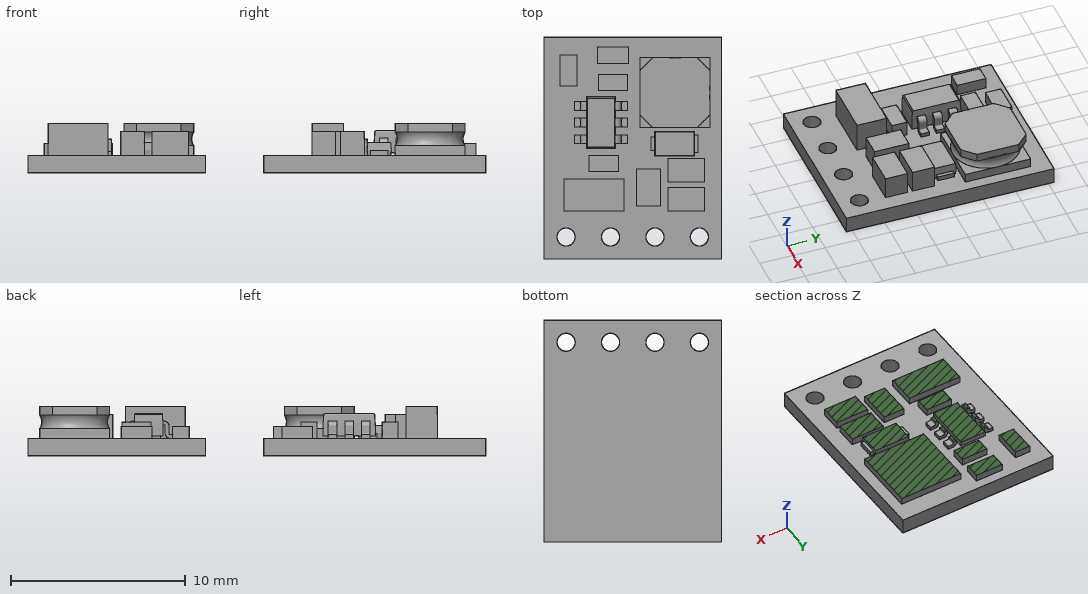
import cadquery as cq


BOARD_LENGTH_X = 10.16
BOARD_LENGTH_Y = 12.7
BOARD_THICKNESS = 1.0
TALLEST_PART = 1.82

PIN_COUNT = 4
PIN_PITCH = 2.54
PIN_HOLE_DIAMETER = 1.02
PIN_EDGE_DISTANCE = PIN_PITCH / 2

RESISTOR_SIZE = (1.75, 0.96, 0.68, 0.44)
SMALL_CAPACITOR_SIZE = (1.68, 0.92, 0.92, 0.30)
MEDIUM_CAPACITOR_SIZE = (2.1, 1.35, 1.37, 0.51)
LARGE_CAPACITOR_SIZE = (3.42, 1.81, TALLEST_PART, 0.50)

CHIPS = [
    (RESISTOR_SIZE, 1.41, 10.79, True),
    (RESISTOR_SIZE, 3.95, 11.66, False),
    (SMALL_CAPACITOR_SIZE, 3.95, 10.10, False),
    (SMALL_CAPACITOR_SIZE, 3.43, 5.47, False),
    (MEDIUM_CAPACITOR_SIZE, 5.98, 4.10, True),
    (MEDIUM_CAPACITOR_SIZE, 8.14, 5.08, False),
    (MEDIUM_CAPACITOR_SIZE, 8.14, 3.43, False),
    (LARGE_CAPACITOR_SIZE, 2.87, 3.67, False),
]

INDUCTOR_X = 7.49
INDUCTOR_Y = 9.52
INDUCTOR_SIDE = 4.0
INDUCTOR_BASE_HEIGHT = 0.55
INDUCTOR_CAP_THICKNESS = 0.5
INDUCTOR_CORNER_CUT = 0.73
WINDING_END_RADIUS = INDUCTOR_SIDE / 2
WINDING_WAIST_RADIUS = 1.88

REGULATOR_X = 3.26
REGULATOR_Y = 7.81
REGULATOR_WIDTH = 1.64
REGULATOR_LENGTH = 2.98
REGULATOR_STANDOFF = 0.14
REGULATOR_SEAM_HEIGHT = 0.875
REGULATOR_SHOULDER_HEIGHT = 1.36
REGULATOR_TOP_HEIGHT = 1.42
REGULATOR_SHOULDER_INSET = 0.03
REGULATOR_TOP_INSET_X = 0.05
REGULATOR_TOP_INSET_Y = 0.10

LEADS_PER_SIDE = 3
LEAD_PITCH = 0.95
LEAD_SPAN = 3.02
LEAD_WIDTH = 0.5
LEAD_THICKNESS = 0.22
LEAD_FOOT_LENGTH = 0.34
LEAD_TOP_HEIGHT = 0.98
LEAD_INNER_RADIUS = 0.06
LEAD_OUTER_RADIUS = LEAD_INNER_RADIUS + LEAD_THICKNESS

DIODE_X = 7.47
DIODE_Y = 6.6
DIODE_LENGTH = 2.28
DIODE_WIDTH = 1.4
DIODE_SEAM_HEIGHT = 0.29
DIODE_HEIGHT = 0.74
DIODE_TAPER_INSET = 0.04
DIODE_LEAD_SPAN = 2.7
DIODE_LEAD_HEIGHT = 0.27
DIODE_LEFT_LEAD_WIDTH = 0.76
DIODE_RIGHT_LEAD_WIDTH = 1.0


def block(length, width, height, x, y, base=0):
    """Box centred on (x, y); base is its height above the top of the board."""
    box = cq.Workplane("XY").box(length, width, height, centered=(True, True, False))
    return box.translate((x, y, BOARD_THICKNESS + base))


def frustum(lower, upper, low, high, x, y):
    """Tapered block between two rectangles at two heights above the board."""
    return (
        cq.Workplane("XY", origin=(x, y, BOARD_THICKNESS + low))
        .rect(*lower)
        .workplane(offset=high - low)
        .rect(*upper)
        .loft(ruled=True)
    )


def inset(rectangle, distance):
    """Rectangle made smaller by the same distance on all four sides."""
    return tuple(side - 2 * distance for side in rectangle)


def make_board():
    board = cq.Workplane("XY").box(BOARD_LENGTH_X, BOARD_LENGTH_Y, BOARD_THICKNESS, centered=False)
    centres = [(PIN_EDGE_DISTANCE + i * PIN_PITCH, PIN_EDGE_DISTANCE) for i in range(PIN_COUNT)]
    holes = cq.Workplane("XY").pushPoints(centres).circle(PIN_HOLE_DIAMETER / 2).extrude(BOARD_THICKNESS)
    return board.cut(holes)


def make_chip(size, x, y, along_y):
    """Plain chip with a terminal at each end, flush with the body."""
    length, width, height, terminal = size
    body = block(length - 2 * terminal, width, height, x, y)
    for side in (-1, 1):
        offset = side * (length - terminal) / 2
        body = body.union(block(terminal, width, height, x + offset, y), clean=False)
    if along_y:
        body = body.rotate((x, y, 0), (x, y, 1), 90)
    return body


def make_inductor():
    cap_base = TALLEST_PART - INDUCTOR_CAP_THICKNESS
    waist_height = (INDUCTOR_BASE_HEIGHT + cap_base) / 2
    base = block(INDUCTOR_SIDE, INDUCTOR_SIDE, INDUCTOR_BASE_HEIGHT, INDUCTOR_X, INDUCTOR_Y)
    cap = block(INDUCTOR_SIDE, INDUCTOR_SIDE, INDUCTOR_CAP_THICKNESS, INDUCTOR_X, INDUCTOR_Y, cap_base)
    cap = cap.edges("|Z").chamfer(INDUCTOR_CORNER_CUT)
    winding = (
        cq.Workplane("XZ")
        .moveTo(0, INDUCTOR_BASE_HEIGHT)
        .lineTo(WINDING_END_RADIUS, INDUCTOR_BASE_HEIGHT)
        .threePointArc((WINDING_WAIST_RADIUS, waist_height), (WINDING_END_RADIUS, cap_base))
        .lineTo(0, cap_base)
        .close()
        .revolve(360, (0, 0), (0, 1))
        .translate((INDUCTOR_X, INDUCTOR_Y, BOARD_THICKNESS))
    )
    return base.union(winding).union(cap)


def make_lead():
    """Right-hand lead, centred on Y = 0, with X measured from the middle of the chip."""
    tip = LEAD_SPAN / 2
    outer_face = tip - LEAD_FOOT_LENGTH
    inner_face = outer_face - LEAD_THICKNESS
    bend_start = inner_face - LEAD_INNER_RADIUS
    root = REGULATOR_WIDTH / 2 - REGULATOR_SHOULDER_INSET
    profile = (
        cq.Workplane("XZ")
        .moveTo(tip, 0)
        .lineTo(tip, LEAD_THICKNESS)
        .lineTo(outer_face + LEAD_INNER_RADIUS, LEAD_THICKNESS)
        .radiusArc((outer_face, LEAD_THICKNESS + LEAD_INNER_RADIUS), LEAD_INNER_RADIUS)
        .lineTo(outer_face, LEAD_TOP_HEIGHT - LEAD_OUTER_RADIUS)
        .radiusArc((bend_start, LEAD_TOP_HEIGHT), -LEAD_OUTER_RADIUS)
        .lineTo(root, LEAD_TOP_HEIGHT)
        .lineTo(root, LEAD_TOP_HEIGHT - LEAD_THICKNESS)
        .lineTo(bend_start, LEAD_TOP_HEIGHT - LEAD_THICKNESS)
        .radiusArc((inner_face, LEAD_TOP_HEIGHT - LEAD_OUTER_RADIUS), LEAD_INNER_RADIUS)
        .lineTo(inner_face, LEAD_OUTER_RADIUS)
        .radiusArc((outer_face + LEAD_INNER_RADIUS, 0), -LEAD_OUTER_RADIUS)
        .close()
    )
    return profile.extrude(LEAD_WIDTH / 2, both=True)


def make_regulator():
    place = (REGULATOR_X, REGULATOR_Y)
    seam = (REGULATOR_WIDTH, REGULATOR_LENGTH)
    shoulder = inset(seam, REGULATOR_SHOULDER_INSET)
    top = (REGULATOR_WIDTH - 2 * REGULATOR_TOP_INSET_X, REGULATOR_LENGTH - 2 * REGULATOR_TOP_INSET_Y)
    lower = block(*seam, REGULATOR_SEAM_HEIGHT - REGULATOR_STANDOFF, *place, REGULATOR_STANDOFF)
    upper = frustum(seam, shoulder, REGULATOR_SEAM_HEIGHT, REGULATOR_SHOULDER_HEIGHT, *place)
    bevel = frustum(shoulder, top, REGULATOR_SHOULDER_HEIGHT, REGULATOR_TOP_HEIGHT, *place)
    regulator = lower.union(upper).union(bevel)
    for turn in (0, 180):
        lead = make_lead().rotate((0, 0, 0), (0, 0, 1), turn)
        for i in range(LEADS_PER_SIDE):
            y = REGULATOR_Y + (i - (LEADS_PER_SIDE - 1) / 2) * LEAD_PITCH
            regulator = regulator.union(lead.translate((REGULATOR_X, y, BOARD_THICKNESS)))
    return regulator


def make_diode():
    place = (DIODE_X, DIODE_Y)
    seam = (DIODE_LENGTH, DIODE_WIDTH)
    end = inset(seam, DIODE_TAPER_INSET)
    lower = frustum(end, seam, 0, DIODE_SEAM_HEIGHT, *place)
    upper = frustum(seam, end, DIODE_SEAM_HEIGHT, DIODE_HEIGHT, *place)
    diode = lower.union(upper)
    lead_length = DIODE_LEAD_SPAN / 2
    for side, width in ((-1, DIODE_LEFT_LEAD_WIDTH), (1, DIODE_RIGHT_LEAD_WIDTH)):
        lead_x = DIODE_X + side * lead_length / 2
        diode = diode.union(block(lead_length, width, DIODE_LEAD_HEIGHT, lead_x, DIODE_Y))
    return diode


result = make_board()
for part in (make_inductor(), make_regulator(), make_diode()):
    result = result.union(part)
for chip in CHIPS:
    result = result.union(make_chip(*chip), clean=False)